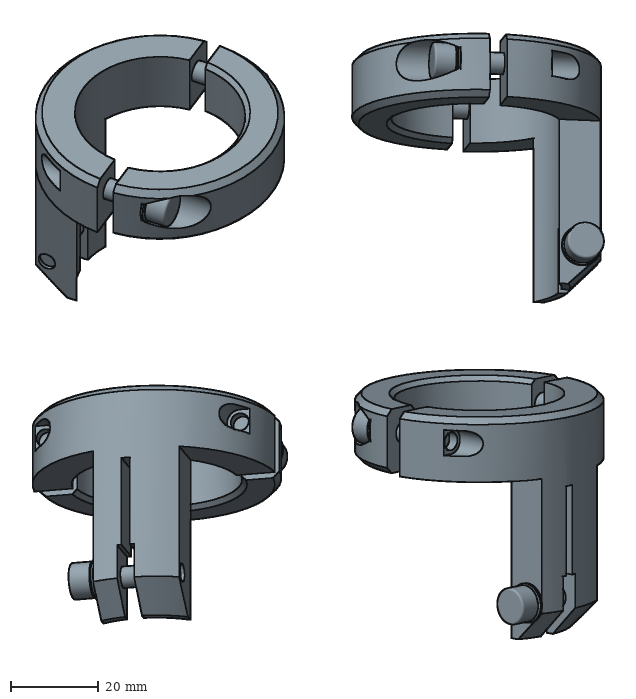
import cadquery as cq


outer_radius = 28.5
bore_radius = 19.5
ring_height = 15.0
split_gap = 4.0
outer_chamfer = 1.5
bore_chamfer = 1.15

leg_length = 38.55
leg_side_plus_y = 8.0
leg_side_minus_y = -11.95
leg_end_chamfer = 7.05
slot_width = 2.0
slot_height = 35.95
pinch_gap_height = 15.05

shank_diameter = 5.0
tapped_hole_diameter = 4.2
screw_length = 20.0
head_diameter = 8.5
head_height = 5.0
head_edge_fillet = 0.5
collar_diameter = 7.05
collar_height = 0.45
washer_diameter = 9.2
washer_thickness = 0.5
screw_offset = 22.95

ring_screw_drop = 6.0
head_seat_x = 8.55
head_recess_diameter = 9.5
tip_seat_x = -13.0
tip_recess_width = 6.0

leg_screw_height = 9.0

leg_foot_z = -leg_length
leg_screw_z = leg_foot_z + leg_screw_height
ring_screw_z = ring_height - ring_screw_drop
shank_length = screw_length - collar_height
washer_to_tip = shank_length - washer_thickness

sides = (-1, 1)
ring_seats = [
    cq.Plane(
        origin=(head_seat_x, side * screw_offset, ring_screw_z), xDir=(0, 1, 0), normal=(1, 0, 0)
    )
    for side in sides
]
leg_seat = cq.Plane(
    origin=(-screw_offset, leg_side_plus_y, leg_screw_z), xDir=(1, 0, 0), normal=(0, 1, 0)
)

outer_edge = cq.selectors.RadiusNthSelector(-1)
inner_edge = cq.selectors.RadiusNthSelector(0)


def box_between(x_range, y_range, z_range):
    """Axis-aligned box given by its limits along X, Y and Z."""
    sizes = [high - low for low, high in (x_range, y_range, z_range)]
    corner = (x_range[0], y_range[0], z_range[0])
    return cq.Workplane("XY").box(*sizes, centered=False).translate(corner)


def full_ring(bottom_z, top_z):
    """Plain ring between two heights."""
    base = cq.Workplane("XY").workplane(offset=bottom_z)
    return base.circle(outer_radius).circle(bore_radius).extrude(top_z - bottom_z)


def cut_screw_hole(body, seat):
    """Bore along a screw's axis: shank size as far as the tip, the narrower tapped size beyond it."""
    shank_hole = cq.Workplane(seat).circle(shank_diameter / 2).extrude(-washer_to_tip)
    tapped_hole = cq.Workplane(seat).circle(tapped_hole_diameter / 2).extrude(-2 * outer_radius)
    return body.cut(shank_hole).cut(tapped_hole)


def cut_tip_recess(body, side):
    """Flat-floored recess at a ring screw's tip: round on the inside, open to the ring's outside."""
    axis_y = side * screw_offset
    half_width = tip_recess_width / 2
    recess = (
        cq.Workplane("YZ", origin=(tip_seat_x, axis_y, ring_screw_z))
        .circle(half_width)
        .extrude(-outer_radius)
    )
    open_side = box_between(
        (tip_seat_x - outer_radius, tip_seat_x),
        sorted((axis_y, side * outer_radius)),
        (ring_screw_z - half_width, ring_screw_z + half_width),
    )
    return body.cut(recess).cut(open_side)


def make_main_half():
    """Half ring on the -X side with the slotted leg below it."""
    body_x = (-outer_radius, -split_gap / 2)
    half_ring = full_ring(0, ring_height).faces(">Z").edges(outer_edge).chamfer(outer_chamfer)
    half_ring = half_ring.intersect(box_between(body_x, (-outer_radius, outer_radius), (0, ring_height)))

    leg = full_ring(leg_foot_z, 0).faces("<Z").edges(outer_edge).chamfer(leg_end_chamfer)
    leg = leg.intersect(box_between(body_x, (leg_side_minus_y, leg_side_plus_y), (leg_foot_z, 0)))

    half = half_ring.union(leg)
    for width, height in ((slot_width, slot_height), (split_gap, pinch_gap_height)):
        half = half.cut(
            box_between(body_x, (-width / 2, width / 2), (leg_foot_z, leg_foot_z + height))
        )
    for seat in ring_seats:
        half = cut_screw_hole(half, seat)
    for side in sides:
        half = cut_tip_recess(half, side)
    return cut_screw_hole(half, leg_seat)


def make_cap_half():
    """Half ring on the +X side, chamfered at all four round edges, with recesses for the screw heads."""
    ring = full_ring(0, ring_height)
    ring = ring.faces("|Z").edges(outer_edge).chamfer(outer_chamfer)
    ring = ring.faces("|Z").edges(inner_edge).chamfer(bore_chamfer)
    half = ring.intersect(
        box_between((split_gap / 2, outer_radius), (-outer_radius, outer_radius), (0, ring_height))
    )
    for seat in ring_seats:
        head_recess = cq.Workplane(seat).circle(head_recess_diameter / 2).extrude(outer_radius)
        half = cut_screw_hole(half, seat).cut(head_recess)
    return half


def make_screw(seat):
    """Cap screw standing on its washer, with a low collar under the head."""
    collar_base = cq.Workplane(seat).workplane(offset=washer_thickness)
    head = (
        collar_base.workplane(offset=collar_height)
        .circle(head_diameter / 2)
        .extrude(head_height)
        .faces(cq.selectors.DirectionMinMaxSelector(seat.zDir))
        .edges()
        .fillet(head_edge_fillet)
    )
    collar = collar_base.circle(collar_diameter / 2).extrude(collar_height)
    shank = collar_base.circle(shank_diameter / 2).extrude(-shank_length)
    return head.union(collar).union(shank)


def make_washer(seat):
    """Flat washer between a screw and its seat."""
    return (
        cq.Workplane(seat).circle(washer_diameter / 2).circle(shank_diameter / 2).extrude(washer_thickness)
    )


main_half = make_main_half()
cap_half = make_cap_half()
all_seats = [*ring_seats, leg_seat]
screws = [make_screw(seat) for seat in all_seats]
washers = [make_washer(seat) for seat in all_seats]

result = cq.Compound.makeCompound(
    [
        main_half.val(),
        cap_half.val(),
        *[screw.val() for screw in screws],
        *[washer.val() for washer in washers],
    ]
)